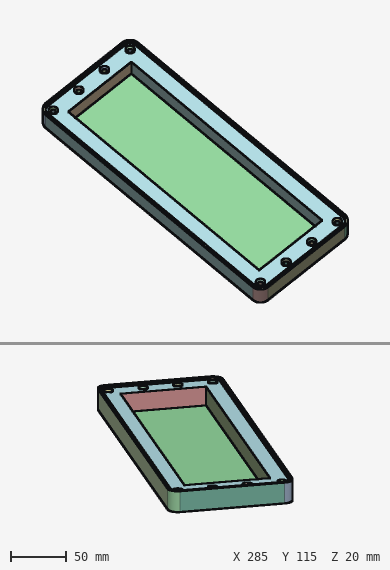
import cadquery as cq

length = 285.0
width = 115.0
height = 20.0
corner_radius = 9.5

lip_width = 2.5
lip_height = 2.0

pocket_length = 245.0
pocket_width = 79.0
floor_thickness = 0.03

hole_diameter = 4.5
countersink_diameter = 8.5
countersink_angle = 90.0
holes_per_row = 4
hole_inset = corner_radius
row_spacing = length - 2 * hole_inset
hole_pitch = (width - 2 * hole_inset) / (holes_per_row - 1)

deck_height = height - lip_height
deck_to_floor = deck_height - floor_thickness


def rounded_plate(plate_length, plate_width, thickness, radius):
    """Plate centred on the Z axis, standing on Z = 0, with rounded upright corners."""
    plate = cq.Workplane("XY").box(plate_length, plate_width, thickness, centered=(True, True, False))
    return plate.edges("|Z").fillet(radius)


def cut_lip_recess(body):
    """Lower the top face inside the lip to the deck."""
    recess = rounded_plate(
        length - 2 * lip_width,
        width - 2 * lip_width,
        lip_height,
        corner_radius - lip_width,
    )
    return body.cut(recess.translate((0, 0, deck_height)))


def cut_pocket(body):
    """Sink the sharp-cornered rectangular pocket from the deck down to the floor."""
    pocket = cq.Workplane("XY").box(
        pocket_length,
        pocket_width,
        deck_to_floor,
        centered=(True, True, False),
    )
    return body.cut(pocket.translate((0, 0, floor_thickness)))


def cut_screw_holes(body):
    """Drill the countersunk holes from the deck to the floor."""
    deck = body.copyWorkplane(cq.Workplane("XY", origin=(0, 0, deck_height)))
    holes = deck.rarray(row_spacing, hole_pitch, 2, holes_per_row)
    return holes.cskHole(hole_diameter, countersink_diameter, countersink_angle, depth=deck_to_floor)


body = rounded_plate(length, width, height, corner_radius)
body = cut_lip_recess(body)
body = cut_pocket(body)
result = cut_screw_holes(body)